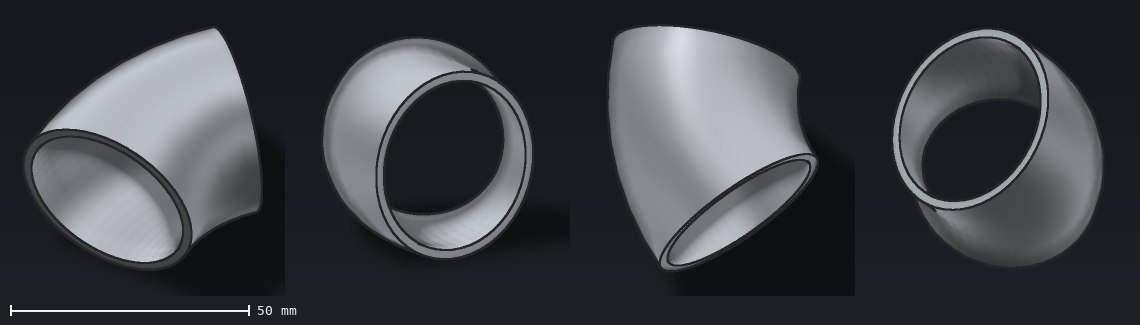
import cadquery as cq
import math

overall_width = 47.3
bend_radius = 45.0
bend_angle = 45.0
wall = 2.0

cos_bend = math.cos(math.radians(bend_angle))
outer_radius = (overall_width - bend_radius * (1 - cos_bend)) / (1 + cos_bend)
inner_radius = outer_radius - wall

axis_start = (bend_radius, 0)
axis_end = (bend_radius, -1)
result = (
    cq.Workplane("XZ")
    .circle(outer_radius)
    .circle(inner_radius)
    .revolve(bend_angle, axis_start, axis_end)
)